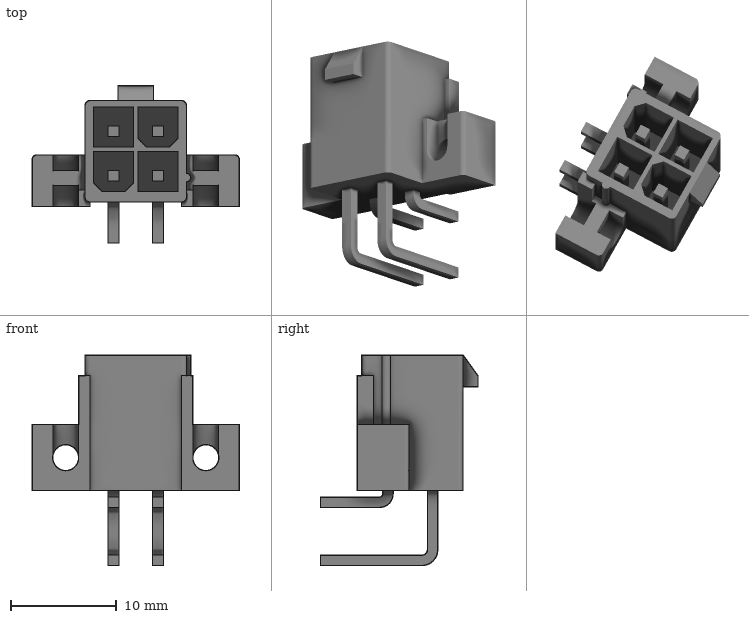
import cadquery as cq

TOTAL_DEPTH = 14.9
TOTAL_HEIGHT = 19.9

BODY_SIDE = 9.61
BODY_HEIGHT = 12.82
BODY_RADIUS = 0.5
BODY_HALF = BODY_SIDE / 2

CAVITY_SIDE = 3.8
CAVITY_PITCH = 4.2
CAVITY_ROW_SHIFT = 0.2
CAVITY_KEY_CHAMFER = 0.82
CAVITY_FLOOR = 2.59

PIN_PITCH = 4.22
PIN_ROW_SHIFT = -CAVITY_ROW_SHIFT
PIN_WIDTH = 1.05
PIN_THICKNESS = 1.0
PIN_TOP = 9.55
PIN_END_Y = -8.7
REAR_PIN_BOTTOM = BODY_HEIGHT - TOTAL_HEIGHT
FRONT_PIN_BOTTOM = -1.6
REAR_PIN_INNER_RADIUS = 0.52
FRONT_PIN_INNER_RADIUS = 0.32

EAR_SPAN = 19.6
EAR_HEIGHT = 6.27
EAR_BACK_Y = -0.34
EAR_FRONT_Y = -5.23
EAR_RADIUS = 0.45
POST_BACK_Y = -3.68
POST_HEIGHT = 10.89
EAR_INNER_X = BODY_HALF - BODY_RADIUS

HOLE_RADIUS = 1.21
HOLE_X = 6.63
HOLE_Z = 3.12
WEB_BACK_Y = -1.83
WEB_FRONT_Y = -3.22
POST_OUTER_X = HOLE_X - HOLE_RADIUS

LATCH_WIDTH = 3.38
LATCH_TIP_Y = PIN_END_Y + TOTAL_DEPTH
LATCH_RAMP_DROP = 1.95
LATCH_HEIGHT = 3.0

RIB_RADIUS = 0.4
RIB_Y = -2.49


def box(x_range, y_range, z_range):
    """Box filling the given (low, high) ranges."""
    sizes = [high - low for low, high in (x_range, y_range, z_range)]
    corner = (x_range[0], y_range[0], z_range[0])
    return cq.Workplane("XY").box(*sizes, centered=False).translate(corner)


def make_housing():
    housing = cq.Workplane("XY").rect(BODY_SIDE, BODY_SIDE).extrude(BODY_HEIGHT)
    housing = housing.edges("|Z").fillet(BODY_RADIUS)
    rib = cq.Workplane("XY").center(BODY_HALF, RIB_Y).circle(RIB_RADIUS).extrude(BODY_HEIGHT)
    return housing.union(rib)


def make_latch():
    ramp_end = BODY_HEIGHT - LATCH_RAMP_DROP
    bottom = BODY_HEIGHT - LATCH_HEIGHT
    profile = [
        (0, BODY_HEIGHT),
        (BODY_HALF, BODY_HEIGHT),
        (LATCH_TIP_Y, ramp_end),
        (LATCH_TIP_Y, bottom),
        (0, bottom),
    ]
    return cq.Workplane("YZ").polyline(profile).close().extrude(LATCH_WIDTH / 2, both=True)


def make_bore(back_y, front_y):
    """Round screw hole running along Y."""
    center = cq.Workplane("XZ", origin=(HOLE_X, back_y, HOLE_Z))
    return center.circle(HOLE_RADIUS).extrude(back_y - front_y)


def make_recess(back_y, front_y):
    """U-shaped slot, round at the bottom and open at the ear top."""
    x_range = (HOLE_X - HOLE_RADIUS, HOLE_X + HOLE_RADIUS)
    straight = box(x_range, (front_y, back_y), (HOLE_Z, EAR_HEIGHT))
    return make_bore(back_y, front_y).union(straight)


def make_ear():
    """Ear and post on the +X side."""
    ear = box((EAR_INNER_X, EAR_SPAN / 2), (EAR_FRONT_Y, EAR_BACK_Y), (0, EAR_HEIGHT))
    ear = ear.edges("|Z and >X and >Y").fillet(EAR_RADIUS)
    ear = ear.cut(make_recess(EAR_BACK_Y, WEB_BACK_Y))
    ear = ear.cut(make_recess(WEB_FRONT_Y, EAR_FRONT_Y))
    ear = ear.cut(make_bore(WEB_BACK_Y, WEB_FRONT_Y))
    post = box((EAR_INNER_X, POST_OUTER_X), (EAR_FRONT_Y, POST_BACK_Y), (0, POST_HEIGHT))
    return ear.union(post)


def make_cavity(column, row, keyed):
    x = column * CAVITY_PITCH / 2
    y = row * CAVITY_PITCH / 2 + CAVITY_ROW_SHIFT
    cavity = (
        cq.Workplane("XY", origin=(x, y, CAVITY_FLOOR))
        .rect(CAVITY_SIDE, CAVITY_SIDE)
        .extrude(BODY_HEIGHT - CAVITY_FLOOR)
    )
    if keyed:
        cavity = cavity.edges("|Z and <Y").chamfer(CAVITY_KEY_CHAMFER)
    return cavity


def make_pin(column, row):
    """Straight-sided pin rising in its cavity and bent towards -Y below the housing."""
    rear = row > 0
    bottom = REAR_PIN_BOTTOM if rear else FRONT_PIN_BOTTOM
    inner_radius = REAR_PIN_INNER_RADIUS if rear else FRONT_PIN_INNER_RADIUS
    x = column * PIN_PITCH / 2
    back_y = row * PIN_PITCH / 2 + PIN_ROW_SHIFT + PIN_THICKNESS / 2
    front_y = back_y - PIN_THICKNESS
    upper = bottom + PIN_THICKNESS
    outer_radius = inner_radius + PIN_THICKNESS
    bend_y = front_y - inner_radius
    bend_z = upper + inner_radius
    return (
        cq.Workplane("YZ", origin=(x, 0, 0))
        .moveTo(back_y, PIN_TOP)
        .lineTo(back_y, bend_z)
        .radiusArc((bend_y, bottom), outer_radius)
        .lineTo(PIN_END_Y, bottom)
        .lineTo(PIN_END_Y, upper)
        .lineTo(bend_y, upper)
        .radiusArc((front_y, bend_z), -inner_radius)
        .lineTo(front_y, PIN_TOP)
        .close()
        .extrude(PIN_WIDTH / 2, both=True)
    )


right_ear = make_ear()
result = make_housing().union(make_latch())
result = result.union(right_ear).union(right_ear.mirror("YZ"))

positions = [(column, row) for column in (-1, 1) for row in (-1, 1)]
for column, row in positions:
    result = result.cut(make_cavity(column, row, keyed=column == row))
for column, row in positions:
    result = result.union(make_pin(column, row))